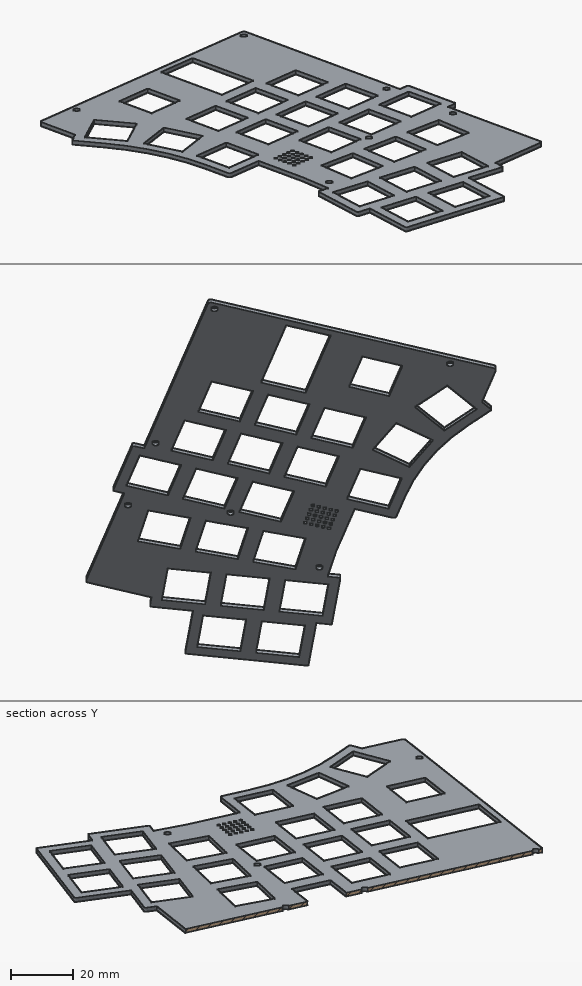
import cadquery as cq
import math

thickness = 1.5
key_size = 14.0
key_pitch = 19.05
key_margin = 10.45
tab_radius = 0.5
panel_radius = 1.0

panel_right = 130.0
panel_top = 101.0
panel_bottom = 3.9
shelf_bend_x = 92.3
shelf_y = 28.4

inner_column = (40.3, 44.27, 0.0, 3)
index_column = (59.3, 47.3, 0.0, 3)
middle_column = (78.45, 56.3, 0.0, 3)
ring_tilt = -4.0
ring_column = (97.6, 45.9, ring_tilt, 3)
pinky_tilt = -10.0
pinky_x, pinky_y = 115.32, 31.95
pinky_count = 3
pinky_column = (pinky_x, pinky_y, pinky_tilt, pinky_count)
outer_stagger = 5.0
outer_count = 2

thumb_x, thumb_y = 62.45, 25.11
thumb_radius = 81.8
thumb_step = 15.0
thumb_count = 3

display_x, display_y = 15.6, 66.6
display_width, display_height = 26.5, 15.0
encoder_x, encoder_y = 15.0, 39.85
encoder_width, encoder_height = 14.0, 13.5
screw_diameter = 2.1
screw_points = [(2.5, 98.3), (64.7, 98.2), (93.5, 98.3), (86.6, 65.9), (100.9, 31.4), (2.5, 18.8)]
vent_x, vent_y = 79.5, 37.7
vent_pitch = 2.0
vent_count = 5
vent_diameter = 1.0


def offset_point(x, y, tilt, along, across):
    """Point at (along, across) in a frame at (x, y) turned by tilt degrees."""
    c = math.cos(math.radians(tilt))
    s = math.sin(math.radians(tilt))
    return (x + along * c - across * s, y + along * s + across * c)


def point_at_x(start, tilt, x):
    """Point with the given x on the line through start at tilt degrees."""
    return (x, start[1] + (x - start[0]) * math.tan(math.radians(tilt)))


def point_at_y(start, tilt, y):
    """Point with the given y on the line through start at tilt degrees."""
    return (start[0] + (y - start[1]) / math.tan(math.radians(tilt)), y)


def line_crossing(start, tilt, other_start, other_tilt):
    """Crossing of two lines, each given by a point and a direction in degrees."""
    dx = other_start[0] - start[0]
    dy = other_start[1] - start[1]
    a = math.radians(other_tilt)
    distance = (dx * math.sin(a) - dy * math.cos(a)) / math.sin(a - math.radians(tilt))
    return offset_point(*start, tilt, distance, 0)


def pinky_point(along, across):
    """Point in the tilted frame of the bottom pinky switch."""
    return offset_point(pinky_x, pinky_y, pinky_tilt, along, across)


def thumb_centre(angle):
    """Centre of the thumb switch turned by angle degrees."""
    return offset_point(thumb_x, thumb_y - thumb_radius, angle, 0, thumb_radius)


def thumb_edge(angle, along):
    """Point on the lower margin of the thumb switch turned by angle degrees."""
    return offset_point(*thumb_centre(angle), angle, along, -key_margin)


def round_corners(blank, corners, radius):
    """Fillet the upright edges standing at the given corner points."""
    for x, y in corners:
        nearest = cq.selectors.NearestToPointSelector((x, y, thickness / 2))
        blank = blank.edges("|Z").edges(nearest).fillet(radius)
    return blank


def make_plate():
    middle_x, middle_y, _, middle_count = middle_column
    tab_top = middle_y + (middle_count - 1) * key_pitch + key_margin
    tab_left = middle_x - key_margin
    tab_right = middle_x + key_margin

    pinky_top = (pinky_count - 1) * key_pitch + key_margin
    outer_top = outer_stagger + (outer_count - 1) * key_pitch + key_margin
    outer_bottom = outer_stagger - key_margin
    outer_right = key_pitch + key_margin
    pinky_top_right = pinky_point(key_margin, pinky_top)
    pinky_bottom_left = pinky_point(-key_margin, -key_margin)

    ring_shelf = (shelf_bend_x, shelf_y)
    pinky_left_top = line_crossing(ring_shelf, ring_tilt, pinky_bottom_left, pinky_tilt + 90)

    last = (thumb_count - 1) * thumb_step
    thumb_corner = thumb_edge(last, -key_margin)
    thumb_right = thumb_x + key_margin

    outline = (
        cq.Workplane("XY")
        .moveTo(0, panel_bottom)
        .lineTo(0, panel_top)
        .lineTo(tab_left, panel_top)
        .lineTo(tab_left, tab_top)
        .lineTo(tab_right, tab_top)
        .lineTo(tab_right, panel_top)
        .lineTo(panel_right, panel_top)
        .lineTo(*point_at_x(pinky_top_right, pinky_tilt, panel_right))
        .lineTo(*pinky_top_right)
        .lineTo(*pinky_point(key_margin, outer_top))
        .lineTo(*pinky_point(outer_right, outer_top))
        .lineTo(*pinky_point(outer_right, outer_bottom))
        .lineTo(*pinky_point(key_margin, outer_bottom))
        .lineTo(*pinky_point(key_margin, -key_margin))
        .lineTo(*pinky_bottom_left)
        .lineTo(*pinky_left_top)
        .lineTo(*ring_shelf)
        .lineTo(thumb_right, shelf_y)
        .lineTo(thumb_right, thumb_y - key_margin)
        .lineTo(*thumb_edge(0, 0))
        .threePointArc(thumb_edge(last / 2, 0), thumb_edge(last, 0))
        .lineTo(*thumb_corner)
        .lineTo(*point_at_y(thumb_corner, last + 90, panel_bottom))
        .close()
    )
    blank = outline.extrude(thickness)
    panel_corners = [
        (0, panel_bottom),
        (0, panel_top),
        (panel_right, panel_top),
        (thumb_right, thumb_y - key_margin),
    ]
    tab_corners = [
        (tab_left, tab_top),
        (tab_right, tab_top),
        pinky_top_right,
        pinky_point(outer_right, outer_top),
        pinky_point(outer_right, outer_bottom),
        pinky_point(key_margin, -key_margin),
        pinky_bottom_left,
        thumb_corner,
    ]
    blank = round_corners(blank, panel_corners, panel_radius)
    blank = round_corners(blank, tab_corners, tab_radius)
    return blank


def cut_rectangle(plate, x, y, tilt, width, height):
    opening = cq.Workplane("XY").rect(width, height).extrude(thickness)
    opening = opening.rotate((0, 0, 0), (0, 0, 1), tilt).translate((x, y, 0))
    return plate.cut(opening)


def cut_column(plate, x, y, tilt, count):
    for row in range(count):
        key_x, key_y = offset_point(x, y, tilt, 0, row * key_pitch)
        plate = cut_rectangle(plate, key_x, key_y, tilt, key_size, key_size)
    return plate


def cut_thumb_keys(plate):
    for index in range(thumb_count):
        angle = index * thumb_step
        plate = cut_rectangle(plate, *thumb_centre(angle), angle, key_size, key_size)
    return plate


def cut_round_holes(plate):
    screws = cq.Workplane("XY").pushPoints(screw_points).circle(screw_diameter / 2).extrude(thickness)
    vents = (
        cq.Workplane("XY")
        .center(vent_x, vent_y)
        .rarray(vent_pitch, vent_pitch, vent_count, vent_count)
        .circle(vent_diameter / 2)
        .extrude(thickness)
    )
    return plate.cut(screws).cut(vents)


plate = make_plate()
outer_column = (*pinky_point(key_pitch, outer_stagger), pinky_tilt, outer_count)
for column in (inner_column, index_column, middle_column, ring_column, pinky_column, outer_column):
    plate = cut_column(plate, *column)
plate = cut_thumb_keys(plate)
plate = cut_rectangle(plate, display_x, display_y, 0, display_width, display_height)
plate = cut_rectangle(plate, encoder_x, encoder_y, 0, encoder_width, encoder_height)
result = cut_round_holes(plate)